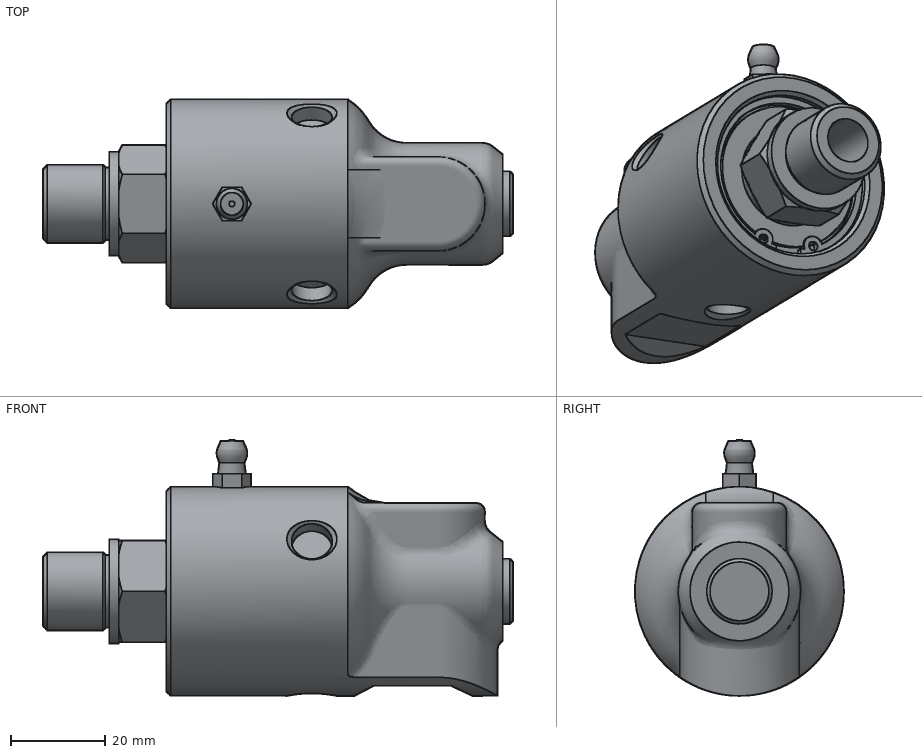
import cadquery as cq
import math

total_length = 100.0
total_height = 54.5
body_diameter = 44.5
body_radius = body_diameter / 2
body_start = 26.2
body_end = 64.8
body_chamfer = 1.0

thread_diameter = 16.7
thread_length = 13.3
thread_chamfer = 1.0
thread_runout = 0.5
relief_diameter = 15.5
bore_diameter = 9.5
bore_depth = 28.0
flange_diameter = 22.2
flange_start = 14.1
hex_start = 16.1
hex_end = 26.8
hex_across_flats = 21.7
hex_chamfer_diameter = 22.2
hex_chamfer_run = 0.8
collar_diameter = 21.7

recess_diameter = 35.0
recess_chamfer = 0.8
ring_face = body_start + 2.0
ring_thickness = 1.5
ring_inner_diameter = 32.2
disc_diameter = 30.9
disc_face = ring_face + 0.5
gap_floor = ring_face + ring_thickness
ring_gap = 5.8
lug_radius = 2.2
lug_hole_diameter = 2.0
lug_y = 5.9
lug_z = -14.8

port_diameter = 8.6
port_x = 57.2
port_floor_radius = 18.1
port_sink_depth = 1.0
port_angles = (30, 150, 270)

nipple_x = 40.2
nipple_hex_flats = 7.1
nipple_hex_top = 25.0
nipple_flare_radius = 3.0
nipple_neck_radius = 2.7
nipple_neck_top = 27.3
nipple_ball_start_radius = 3.0
nipple_ball_start = 28.1
nipple_ball_radius = 3.3
nipple_ball_middle = 29.3
nipple_ball_end_radius = 3.2
nipple_ball_end = 30.1
nipple_top_radius = 2.4
nipple_top = 32.0
nipple_seat_depth = 1.0
nipple_tip_top = total_height - body_radius
nipple_tip_diameter = 1.2

tail_radius = 13.0
tail_flank_middle = 69.3
tail_flank_radius = 17.6
tail_flank_end = 77.3
tail_rounding_start = 93.4
tail_rounding_end = 95.8
tail_rounding_end_radius = 12.1
tail_end = 97.8
tail_end_radius = 10.5
plug_diameter = 13.9
plug_chamfer = 0.7

boss_center_x = 84.0
upper_boss_radius = 10.0
upper_boss_top = 18.8
upper_boss_rounding = 1.9
upper_root_fillet = 3.0
ramp_radius = 10.0
ramp_width = 14.4
lower_boss_radius = 12.7
lower_root_fillet = 2.0
notch_z = -20.1
notch_floor_start = 70.3
notch_floor_end = 86.8
notch_start = 66.2
notch_end = 91.4
boss_overlap = 1.0

contact_tolerance = 0.001


def cylinder_x(start, end, diameter):
    """Cylinder on the main axis between two X positions."""
    return cq.Workplane("YZ", origin=(start, 0, 0)).circle(diameter / 2).extrude(end - start)


def revolve_x(profile):
    """Full turn of an (X, radius) profile around the main axis."""
    return profile.close().revolve(360, (0, 0, 0), (1, 0, 0))


def hexagon(plane, across_flats):
    """Hexagon on a workplane with its corners along the local X direction."""
    return plane.polygon(6, across_flats / math.cos(math.pi / 6))


def boss(radius, z_from, z_to):
    """Vertical tongue from inside the body to a round end on the tail."""
    start = body_end - boss_overlap
    return (
        cq.Workplane("XY", origin=(0, 0, z_from))
        .moveTo(start, -radius)
        .lineTo(boss_center_x, -radius)
        .threePointArc((boss_center_x + radius, 0), (boss_center_x, radius))
        .lineTo(start, radius)
        .close()
        .extrude(z_to - z_from)
    )


def make_tail():
    """Tail core whose flank runs from the body edge in a convex and then a concave arc."""
    rounding_run = tail_rounding_end - tail_rounding_start
    rounding_drop = tail_radius - tail_rounding_end_radius
    rounding_radius = (rounding_run**2 + rounding_drop**2) / (2 * rounding_drop)
    half_angle = math.atan(rounding_drop / rounding_run)
    rounding_middle = (
        tail_rounding_start + rounding_radius * math.sin(half_angle),
        tail_radius - rounding_radius * (1 - math.cos(half_angle)),
    )
    return revolve_x(
        cq.Workplane("XY")
        .moveTo(body_end, 0)
        .lineTo(tail_end, 0)
        .lineTo(tail_end, tail_end_radius)
        .lineTo(tail_rounding_end, tail_rounding_end_radius)
        .threePointArc(rounding_middle, (tail_rounding_start, tail_radius))
        .lineTo(tail_flank_end, tail_radius)
        .tangentArcPoint((tail_flank_middle, tail_flank_radius), relative=False)
        .tangentArcPoint((body_end, body_radius), relative=False)
    )


def make_upper_boss():
    """Flat-topped tongue with its upper rim rounded."""
    tongue = boss(upper_boss_radius, 0, upper_boss_top)
    rim = tongue.faces(">Z").edges().filter(lambda edge: edge.BoundingBox().xmax > body_end)
    return tongue.newObject(rim.vals()).fillet(upper_boss_rounding)


def ramp_block(height):
    """Block along the middle of the upper boss, starting at the rear of the body."""
    length = boss_center_x - body_end
    block = cq.Workplane("XY").box(length, ramp_width, height, centered=(False, True, False))
    return block.translate((body_end, 0, 0))


def make_ramp(core):
    """Wedge with a concave fillet leading from the tail flank to the flat of the upper boss."""
    strip = ramp_block(upper_boss_top)
    joined = core.union(strip)
    crease = root_edges(joined, core, strip).filter(
        lambda edge: edge.BoundingBox().zmin > upper_boss_top - contact_tolerance
    )
    filleted = joined.newObject(crease.vals()).fillet(ramp_radius)
    return filleted.intersect(ramp_block(body_radius))


def make_lower_boss():
    """Tongue whose underside follows the body cylinder."""
    return boss(lower_boss_radius, -body_radius, 0).intersect(
        cylinder_x(0, total_length, body_diameter)
    )


def make_underside_notch():
    """Shallow flat-bottomed notch across the underside of the lower boss."""
    return (
        cq.Workplane("XZ", origin=(0, body_radius, 0))
        .polyline([
            (notch_start, -body_radius),
            (notch_floor_start, notch_z),
            (notch_floor_end, notch_z),
            (notch_end, -body_radius),
        ])
        .close()
        .extrude(body_diameter)
    )


def root_edges(joined, core, tongue):
    """Edges of the joined solid that lie on the skins of both the core and the tongue."""
    skins = [cq.Shell.makeShell(solid.val().Faces()) for solid in (core, tongue)]
    sample_positions = (0.2, 0.5, 0.8)

    def on_both_skins(edge):
        points = [cq.Vertex.makeVertex(*p.toTuple()) for p in edge.positions(sample_positions)]
        return all(point.distance(skin) < contact_tolerance for point in points for skin in skins)

    return joined.edges().filter(on_both_skins)


def join_with_root_fillet(core, tongue, radius):
    """Unite a tongue with the core and fillet the line where they meet."""
    joined = core.union(tongue)
    roots = root_edges(joined, core, tongue)
    return joined.newObject(roots.vals()).fillet(radius)


def make_housing():
    body = cylinder_x(body_start, body_end, body_diameter).faces("<X").chamfer(body_chamfer)
    core = body.union(make_tail())
    housing = join_with_root_fillet(core, make_upper_boss(), upper_root_fillet)
    housing = join_with_root_fillet(housing, make_lower_boss(), lower_root_fillet)
    housing = housing.union(make_ramp(core))
    return housing.cut(make_underside_notch())


def make_plug():
    plug = cylinder_x(tail_end, total_length, plug_diameter)
    return plug.faces(">X").chamfer(plug_chamfer)


def make_port(angle):
    """Blind radial port with a countersunk mouth, turned about the main axis."""
    drill = cq.Workplane("XY", origin=(port_x, 0, port_floor_radius))
    hole = drill.circle(port_diameter / 2).extrude(body_radius - port_floor_radius)
    sink_height = 2 * port_sink_depth
    sink = cq.Workplane("XY").add(
        cq.Solid.makeCone(
            port_diameter / 2,
            port_diameter / 2 + sink_height,
            sink_height,
            pnt=cq.Vector(port_x, 0, body_radius - port_sink_depth),
        )
    )
    return hole.union(sink).rotate((0, 0, 0), (1, 0, 0), 90 - angle)


def make_recess():
    """Front recess with a chamfered mouth, reaching down to the gap beside the ring."""
    recess_radius = recess_diameter / 2
    return revolve_x(
        cq.Workplane("XY")
        .moveTo(body_start, 0)
        .lineTo(body_start, recess_radius + recess_chamfer)
        .lineTo(body_start + recess_chamfer, recess_radius)
        .lineTo(gap_floor, recess_radius)
        .lineTo(gap_floor, 0)
    )


def make_retaining_ring():
    """Open ring with two drilled lugs at the ends, set in the recess."""
    plane = cq.Workplane("YZ", origin=(ring_face, 0, 0))
    lug_points = [(-lug_y, lug_z), (lug_y, lug_z)]
    ring_space = plane.circle(recess_diameter / 2).extrude(ring_thickness)
    ring = plane.circle(recess_diameter / 2).circle(ring_inner_diameter / 2).extrude(ring_thickness)
    lugs = plane.pushPoints(lug_points).circle(lug_radius).extrude(ring_thickness)
    gap = (
        plane.center(0, -recess_diameter / 2)
        .rect(ring_gap, recess_diameter / 2)
        .extrude(ring_thickness)
    )
    holes = plane.pushPoints(lug_points).circle(lug_hole_diameter / 2).extrude(ring_thickness)
    return ring.union(lugs.intersect(ring_space)).cut(gap).cut(holes)


def make_shaft():
    thread = cylinder_x(0, thread_length, thread_diameter)
    thread = thread.faces("<X").chamfer(thread_chamfer)
    thread = thread.faces(">X").chamfer(thread_runout)
    relief = cylinder_x(thread_length, flange_start, relief_diameter)
    flange = cylinder_x(flange_start, hex_start, flange_diameter)
    hex_plane = cq.Workplane("YZ", origin=(hex_start, 0, 0))
    nut = hexagon(hex_plane, hex_across_flats).extrude(hex_end - hex_start)
    nut = nut.intersect(make_hex_envelope())
    collar = cylinder_x(hex_end, gap_floor, collar_diameter)
    disc = cylinder_x(disc_face, gap_floor, disc_diameter)
    shaft = thread
    for section in (relief, flange, nut, collar, disc):
        shaft = shaft.union(section)
    return shaft.cut(cylinder_x(0, bore_depth, bore_diameter))


def make_hex_envelope():
    """Barrel that bevels the hexagon corners at both ends."""
    corner_radius = hex_across_flats / math.sqrt(3)
    return revolve_x(
        cq.Workplane("XY")
        .moveTo(hex_start, 0)
        .lineTo(hex_start, hex_chamfer_diameter / 2)
        .lineTo(hex_start + hex_chamfer_run, corner_radius)
        .lineTo(hex_end - hex_chamfer_run, corner_radius)
        .lineTo(hex_end, hex_chamfer_diameter / 2)
        .lineTo(hex_end, 0)
    )


def make_nipple():
    """Grease nipple: hexagon, flared neck, ball head and a small check-ball tip."""
    seat_z = body_radius - nipple_seat_depth
    hex_plane = cq.Workplane("XY", origin=(nipple_x, 0, seat_z))
    nut = hexagon(hex_plane, nipple_hex_flats).extrude(nipple_hex_top - seat_z)
    head = (
        cq.Workplane("XZ")
        .moveTo(0, seat_z)
        .lineTo(nipple_flare_radius, seat_z)
        .lineTo(nipple_flare_radius, nipple_hex_top)
        .lineTo(nipple_neck_radius, nipple_neck_top)
        .lineTo(nipple_ball_start_radius, nipple_ball_start)
        .threePointArc(
            (nipple_ball_radius, nipple_ball_middle),
            (nipple_ball_end_radius, nipple_ball_end),
        )
        .lineTo(nipple_top_radius, nipple_top)
        .lineTo(0, nipple_top)
        .close()
        .revolve(360, (0, 0, 0), (0, 1, 0))
        .translate((nipple_x, 0, 0))
    )
    tip_plane = cq.Workplane("XY", origin=(nipple_x, 0, nipple_top))
    tip = tip_plane.circle(nipple_tip_diameter / 2).extrude(nipple_tip_top - nipple_top)
    return nut.union(head).union(tip)


housing = make_housing().cut(make_recess())
for port_angle in port_angles:
    housing = housing.cut(make_port(port_angle))

result = housing
for component in (make_plug(), make_retaining_ring(), make_shaft(), make_nipple()):
    result = result.union(component)